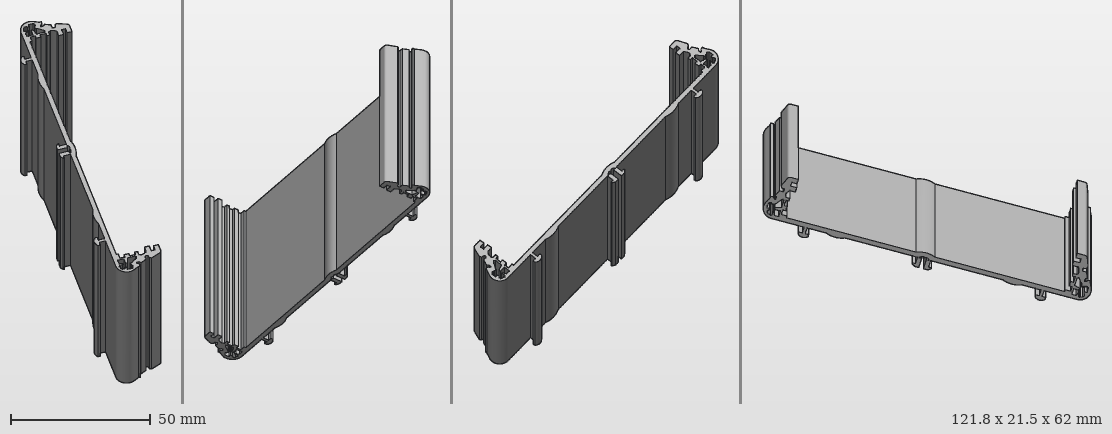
import cadquery as cq
import math

length = 62.0
half_width = 60.9
plate_thickness = 1.8

overlap = 0.2

wall_height = 17.5
corner_radius = 4.0
corner_arc_top = 6.1
inner_face = 7.1
pocket_face = 6.3
lip_end = 9.0
lip_bottom = 15.7
shelf_end = 9.4
shelf_bottom = 12.4
shelf_top = 14.2
rib_end = 8.2
upper_rib_bottom = 8.4
upper_rib_top = 9.5
lower_rib_bottom = 4.4
lower_rib_top = 6.2
foot_top = 2.5
foot_end = 9.1

channel_left = 1.3
channel_step = 3.7
channel_top = 5.8
pocket_floor = 1.5
jaw_end = 4.1
jaw_bottom = 3.8
jaw_tip_top = 4.5
jaw_root_top = 5.2

stud_x = 44.1
stud_stem_width = 1.1
stud_head_width = 3.8
stud_head_top = -2.3
stud_edge_bottom = -3.2
stud_bottom = -4.0

hook_inner = 0.9
hook_outer = 2.4
hook_tip = 3.5
hook_top = -2.5
hook_tip_bottom = -3.0
hook_bottom = -3.8

swell_width = 7.1
swell_height = 0.7
swell_x = 32.9
relief_half_width = 1.8
relief_height = 0.7
relief_ridge = 0.5


def extrude(outline):
    return outline.close().extrude(length)


def block(x_start, x_end, y_start, y_end):
    outline = cq.Workplane("XY").moveTo(x_start, y_start).lineTo(x_end, y_start)
    return extrude(outline.lineTo(x_end, y_end).lineTo(x_start, y_end))


def swelling(x_centre, y_base, width, height):
    """Circular segment on a horizontal chord; a negative height hangs down."""
    outline = cq.Workplane("XY").moveTo(x_centre - width / 2, y_base)
    return extrude(outline.threePointArc((x_centre, y_base + height), (x_centre + width / 2, y_base)))


def wall_body():
    """End wall with its rounded corner and notched outer side."""
    arc_end = corner_radius - math.sqrt(corner_radius**2 - (corner_arc_top - corner_radius) ** 2)
    return extrude(
        cq.Workplane("XY")
        .moveTo(corner_radius, 0)
        .threePointArc((0, corner_radius), (arc_end, corner_arc_top))
        .lineTo(1.3, 7.7)
        .lineTo(1.3, 8.4)
        .lineTo(2.3, 8.4)
        .lineTo(2.9, 7.7)
        .lineTo(3.4, 7.7)
        .lineTo(3.4, 8.5)
        .lineTo(2.8, 9.1)
        .lineTo(3.8, 11.3)
        .lineTo(5.1, 11.3)
        .threePointArc((5.4, 11.9), (5.1, 12.4))
        .lineTo(4.1, 12.7)
        .lineTo(3.8, 13.4)
        .lineTo(5.1, 16.8)
        .threePointArc((5.5, 17.3), (6.2, wall_height))
        .lineTo(inner_face, wall_height)
        .lineTo(inner_face, shelf_bottom)
        .lineTo(7.3, shelf_bottom)
        .threePointArc((6.6, 11.3), (6.3, 10.2))
        .lineTo(6.7, upper_rib_top)
        .lineTo(inner_face, upper_rib_top)
        .lineTo(inner_face, 0)
    )


def wall_ledges():
    """Top lip, shelf, two guide ribs and foot on the inner face."""
    ledges = (
        (lip_end, lip_bottom, wall_height),
        (shelf_end, shelf_bottom, shelf_top),
        (rib_end, upper_rib_bottom, upper_rib_top),
        (rib_end, lower_rib_bottom, lower_rib_top),
        (foot_end, 0, foot_top),
    )
    solid = cq.Workplane("XY")
    for end, bottom, top in ledges:
        solid = solid.add(block(inner_face - overlap, end, bottom, top))
    return solid.combine()


def wall_pocket():
    """Hollow of the end wall: screw channel, upper pocket and lower pocket."""
    return extrude(
        cq.Workplane("XY")
        .moveTo(pocket_face, pocket_floor)
        .lineTo(4.7, pocket_floor)
        .lineTo(4.3, 2.7)
        .lineTo(3.9, 3.0)
        .lineTo(3.9, pocket_floor)
        .lineTo(3.4, 1.1)
        .lineTo(3.2, pocket_floor)
        .lineTo(2.4, pocket_floor)
        .lineTo(2.0, 1.8)
        .lineTo(2.0, 2.5)
        .lineTo(2.3, 2.9)
        .lineTo(2.3, channel_step)
        .lineTo(channel_left, channel_step)
        .lineTo(channel_left, 5.4)
        .lineTo(1.8, channel_top)
        .lineTo(2.3, channel_top)
        .lineTo(2.4, 5.6)
        .lineTo(3.0, 5.6)
        .lineTo(3.3, 5.2)
        .lineTo(3.8, 5.2)
        .lineTo(3.8, channel_top)
        .lineTo(5.5, 8.2)
        .lineTo(5.8, 8.4)
        .lineTo(pocket_face, 8.0)
    )


def middle_jaw():
    """Jaw that reaches from the pocket face towards the screw channel."""
    root = pocket_face + overlap
    return extrude(
        cq.Workplane("XY")
        .moveTo(root, jaw_bottom)
        .lineTo(jaw_end, jaw_bottom)
        .lineTo(jaw_end, jaw_tip_top)
        .lineTo(5.8, 5.0)
        .lineTo(root, jaw_root_top)
    )


def end_wall():
    wall = wall_body().union(wall_ledges()).cut(wall_pocket()).union(middle_jaw())
    return wall.translate((-half_width, 0, 0))


def stud():
    stem = block(-stud_stem_width / 2, stud_stem_width / 2, stud_head_top - overlap, overlap)
    edge = stud_head_width / 2
    head = extrude(
        cq.Workplane("XY")
        .moveTo(-edge, stud_head_top)
        .lineTo(-edge, stud_edge_bottom)
        .threePointArc((0, stud_bottom), (edge, stud_edge_bottom))
        .lineTo(edge, stud_head_top)
    )
    return stem.union(head).translate((-stud_x, 0, 0))


def hook():
    return extrude(
        cq.Workplane("XY")
        .moveTo(-hook_inner, hook_bottom)
        .lineTo(-hook_outer, hook_bottom)
        .lineTo(-hook_tip, hook_tip_bottom)
        .lineTo(-hook_tip, hook_top)
        .lineTo(-hook_outer, hook_top)
        .lineTo(-hook_outer, overlap)
        .lineTo(-hook_inner, overlap)
    )


def hook_relief():
    """Two arched hollows meeting in a small ridge midway between the hooks."""
    crown_x = relief_half_width / 2
    return extrude(
        cq.Workplane("XY")
        .moveTo(-relief_half_width, 0)
        .threePointArc((-crown_x, relief_height), (0, relief_ridge))
        .threePointArc((crown_x, relief_height), (relief_half_width, 0))
    )


plate_end = half_width - inner_face + overlap
left_half = (
    block(-plate_end, 0, 0, plate_thickness)
    .union(end_wall())
    .union(stud())
    .union(swelling(-swell_x, 0, swell_width, -swell_height))
    .union(hook())
)
centre_swelling = swelling(0, plate_thickness, swell_width, swell_height)

result = left_half.union(left_half.mirror("YZ")).union(centre_swelling).cut(hook_relief())